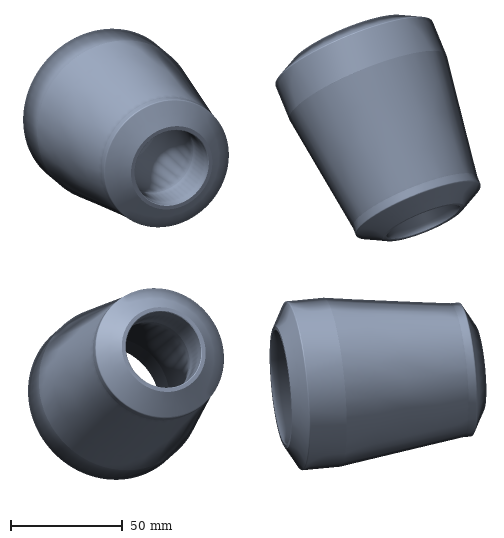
import cadquery as cq
import math

length = 90.0
large_outer_diameter = 76.1
small_outer_diameter = 60.3
wall = 12.5

outer_cone_start = 23.0
outer_cone_end = 80.0
bore_cone_start = 15.0
bore_cone_end = 72.0

root_face = 2.0
bevel_angle = 30.0
edge_radius = 0.8
mouth_chamfer = 0.3

large_outer_radius = large_outer_diameter / 2
small_outer_radius = small_outer_diameter / 2
large_bore_radius = large_outer_radius - wall
small_bore_radius = small_outer_radius - wall
bevel_length = (wall - root_face) * math.tan(math.radians(bevel_angle))
small_bevel_start = length - bevel_length


def make_reducer():
    """Revolve the wall section, given as (x, radius) points, about the X axis."""
    wall_section = [
        (0, large_bore_radius),
        (0, large_bore_radius + root_face),
        (bevel_length, large_outer_radius),
        (outer_cone_start, large_outer_radius),
        (outer_cone_end, small_outer_radius),
        (small_bevel_start, small_outer_radius),
        (length, small_bore_radius + root_face),
        (length, small_bore_radius),
        (bore_cone_end, small_bore_radius),
        (bore_cone_start, large_bore_radius),
    ]
    axis_start = (0, 0, 0)
    axis_end = (1, 0, 0)
    return cq.Workplane("XZ").polyline(wall_section).close().revolve(360, axis_start, axis_end)


def circle_at(body, x, radius):
    """Select the circular edge of the given radius at position x."""
    tolerance = 1e-4
    return body.edges("%CIRCLE").filter(
        lambda edge: abs(edge.arcCenter().x - x) < tolerance and abs(edge.radius() - radius) < tolerance
    )


def round_outer_edges(body):
    """Round both bevel edges and blend the shoulder where the outer cone begins."""
    body = circle_at(body, bevel_length, large_outer_radius).fillet(edge_radius)
    body = circle_at(body, small_bevel_start, small_outer_radius).fillet(edge_radius)
    return circle_at(body, outer_cone_start, large_outer_radius).fillet(edge_radius)


def chamfer_bore_mouths(body):
    """Break the sharp edge of the bore at both ends."""
    body = circle_at(body, 0, large_bore_radius).chamfer(mouth_chamfer)
    return circle_at(body, length, small_bore_radius).chamfer(mouth_chamfer)


reducer = make_reducer()
reducer = round_outer_edges(reducer)
result = chamfer_bore_mouths(reducer)